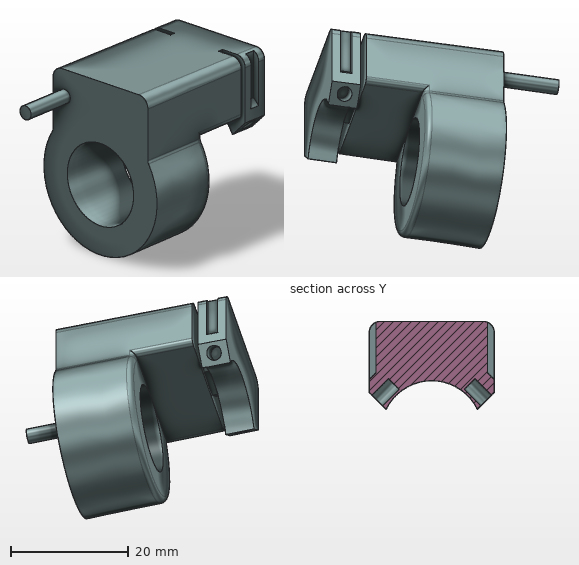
import cadquery as cq
import math

draft = 0.4
edge_radius = 1.0

ring_diameter = 25.95
ring_radius = ring_diameter / 2
ring_length = 14.0
bore_radius = 7.6

block_half_width = 10.9
overall_height = 31.95
block_top = overall_height - ring_radius
block_underside = bore_radius
block_corner_radius = 2.1

rear_end = 30.0
clamp_length = 5.0
clamp_front = rear_end - clamp_length
clamp_bottom = 3.7
clamp_bevel = 3.1
saddle_radius = 8.65
clamp_hole_diameter = 2.5
clamp_hole_depth = 4.0

neck_length = 1.0
block_rear = clamp_front - neck_length
neck_half_width = 5.5
neck_bottom = saddle_radius
neck_bevel = 2.8

groove_width = 2.0
groove_center_y = clamp_front + clamp_length / 2
groove_floor_x = 9.5
groove_floor_end = 10.0

pin_diameter = 2.55
pin_length = 10.0
pin_x = -8.2
pin_z = 14.05

margin = 4.0


def prism(points, y_start, y_end):
    """Extrude an XZ outline along Y between two stations."""
    return cq.Workplane("XZ", origin=(0, y_start, 0)).polyline(points).close().extrude(y_start - y_end)


def box(half_width, y_start, y_end, z_low, z_high):
    """Box centred on X = 0."""
    return prism(
        [(-half_width, z_low), (half_width, z_low), (half_width, z_high), (-half_width, z_high)],
        y_start, y_end,
    )


def beveled_bar(half_width, bevel, z_low, z_high, y_start, y_end):
    """Rectangular bar whose two lower corners are cut at 45 degrees."""
    return prism(
        [
            (-half_width, z_high),
            (-half_width, z_low + bevel),
            (-half_width + bevel, z_low),
            (half_width - bevel, z_low),
            (half_width, z_low + bevel),
            (half_width, z_high),
        ],
        y_start, y_end,
    )


def make_column():
    """Drafted full-length block with rounded upper edges, reaching down to the bore axis."""
    profile = (
        cq.Sketch()
        .push([(0, 0)])
        .rect(2 * block_half_width, 2 * block_top)
        .reset()
        .vertices()
        .fillet(block_corner_radius)
    )
    column = cq.Workplane("XZ").placeSketch(profile).extrude(-rear_end, taper=draft)
    return column.intersect(box(2 * block_half_width, 0, rear_end, 0, 2 * block_top))


def make_housing(column):
    """Ring and block ahead of the clamp, with blended edges."""
    ring = cq.Workplane("XZ").circle(ring_radius).extrude(-ring_length, taper=draft)
    underside_gap = box(ring_radius, ring_length, rear_end, -margin, block_underside)
    behind_block = box(ring_radius, block_rear, rear_end, -margin, 2 * block_top)
    housing = ring.union(column.cut(underside_gap).cut(behind_block))

    corner_z = math.sqrt(ring_radius**2 - block_half_width**2)
    for side in (-1, 1):
        corner = (side * block_half_width, ring_length / 2, corner_z)
        housing = housing.edges(cq.selectors.NearestToPointSelector(corner)).fillet(edge_radius)

    middle_y = (ring_length + block_rear) / 2
    rim = cq.selectors.NearestToPointSelector((0, ring_length, -ring_radius))
    left = cq.selectors.NearestToPointSelector((-block_half_width, middle_y, block_underside))
    right = cq.selectors.NearestToPointSelector((block_half_width, middle_y, block_underside))
    return housing.edges(rim + left + right).fillet(edge_radius)


def make_clamp(column):
    """Rear clamp block with beveled lower corners, saddle arch, side grooves and angled holes."""
    envelope = beveled_bar(
        block_half_width, clamp_bevel, clamp_bottom, 2 * block_top, clamp_front, rear_end
    )
    clamp = column.intersect(envelope)
    outer_x = block_half_width + margin
    groove_drop = outer_x - groove_floor_x
    groove = prism(
        [
            (-groove_floor_x, block_top + margin),
            (-groove_floor_x, groove_floor_end),
            (-outer_x, groove_floor_end - groove_drop),
            (-outer_x, block_top + margin),
        ],
        groove_center_y - groove_width / 2,
        groove_center_y + groove_width / 2,
    )
    bevel_middle = cq.Vector(
        -block_half_width + clamp_bevel / 2, groove_center_y, clamp_bottom + clamp_bevel / 2
    )
    inward = cq.Vector(1, 0, 1).normalized()
    hole = cq.Workplane(cq.Solid.makeCylinder(
        clamp_hole_diameter / 2, clamp_hole_depth + margin, bevel_middle - inward * margin, inward
    ))
    saddle = cq.Workplane("XZ", origin=(0, clamp_front, 0)).circle(saddle_radius).extrude(-clamp_length)
    clamp = clamp.cut(saddle)
    for cutter in (groove, hole):
        clamp = clamp.cut(cutter).cut(cutter.mirror("YZ"))
    return clamp


def make_neck(column):
    """Narrow web joining the housing to the clamp."""
    envelope = beveled_bar(
        neck_half_width, neck_bevel, neck_bottom, 2 * block_top, block_rear, clamp_front
    )
    return column.intersect(envelope)


def make_pin():
    return cq.Workplane("XZ").center(pin_x, pin_z).circle(pin_diameter / 2).extrude(pin_length)


column = make_column()
bore = cq.Workplane("XZ").circle(bore_radius).extrude(-ring_length)
housing = make_housing(column).cut(bore)
result = housing.union(make_neck(column)).union(make_clamp(column)).union(make_pin())